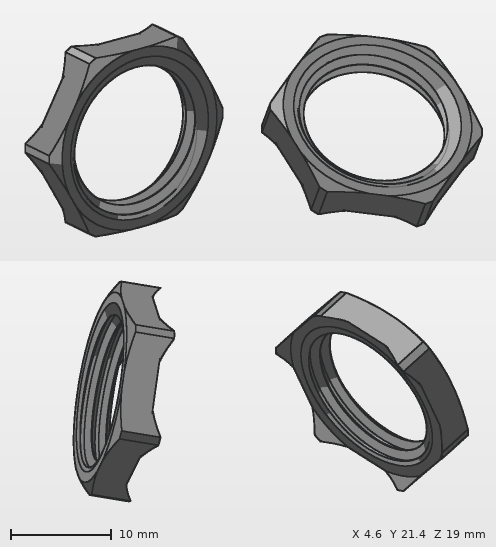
import cadquery as cq
import math

total_thickness = 4.6
across_flats = 19.0
corner_radius = 10.72

tooth_height = 1.18
tooth_root_radius = 9.8
chamfer_depth = 0.58
chamfer_radius = 9.55

bore_radius = 7.2
thread_depth = 0.82
thread_pitch = 1.5
thread_mouth = 1.45
thread_root = 0.39
thread_start_angle = 288.0
countersink_radius = 8.5
countersink_angle = 72.0
bore_overlap = 0.05

countersink_depth = (countersink_radius - bore_radius) / math.tan(math.radians(countersink_angle))


def make_body():
    """Hexagon trimmed by a turned profile that forms the teeth, chamfer and bore."""
    hexagon_diameter = across_flats / math.cos(math.pi / 6)
    hexagon = cq.Workplane("XY").polygon(6, hexagon_diameter).extrude(total_thickness)
    hexagon = hexagon.rotate((0, 0, 0), (0, 0, 1), 90)
    turned_profile = [
        (bore_radius, tooth_height + countersink_depth),
        (countersink_radius, tooth_height),
        (tooth_root_radius, tooth_height),
        (corner_radius, 0),
        (corner_radius, total_thickness - chamfer_depth),
        (chamfer_radius, total_thickness),
        (countersink_radius, total_thickness),
        (bore_radius, total_thickness - countersink_depth),
    ]
    turned = cq.Workplane("XZ").polyline(turned_profile).close().revolve(360, (0, 0), (0, 1))
    return hexagon.intersect(turned)


def make_tap():
    """Core of the bore with a helical ridge that cuts a flat-bottomed thread through it."""
    start = tooth_height - thread_pitch
    length = total_thickness + thread_pitch - start
    inner_radius = bore_radius - bore_overlap
    root_radius = bore_radius + thread_depth
    helix = cq.Wire.makeHelix(thread_pitch, length, bore_radius, center=cq.Vector(0, 0, start))
    groove = [
        (inner_radius, start - thread_mouth / 2),
        (root_radius, start - thread_root / 2),
        (root_radius, start + thread_root / 2),
        (inner_radius, start + thread_mouth / 2),
    ]
    ridge = cq.Workplane("XZ").polyline(groove).close().sweep(cq.Workplane(helix), isFrenet=True)
    core = cq.Workplane("XY").workplane(offset=start - thread_pitch).circle(bore_radius)
    tap = core.extrude(length + 2 * thread_pitch).union(ridge)
    return tap.rotate((0, 0, 0), (0, 0, 1), thread_start_angle)


nut = make_body().cut(make_tap())
result = nut.rotate((0, 0, 0), (0, 1, 0), 90)